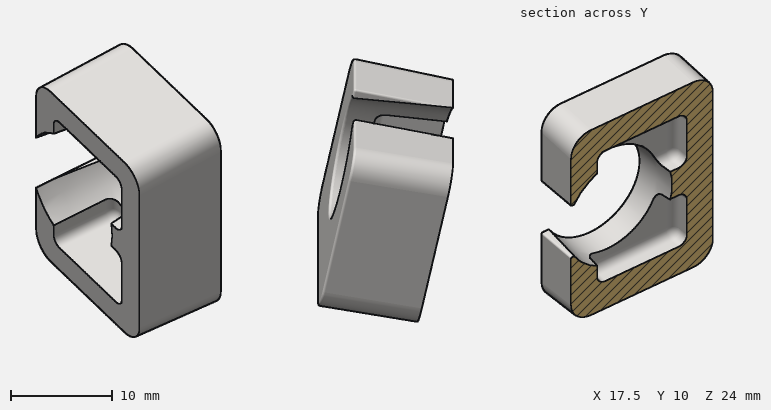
import cadquery as cq
import math

WIDTH = 17.5
DEPTH = 10.0
BACK_HEIGHT = 24.0
BODY_DRAFT = 3.0
CORNER_RADIUS = 2.5
BACK_EDGE_RADIUS = 0.25

BORE_OFFSET = 6.0
BORE_BACK_RADIUS = 6.0
BORE_DRAFT = 5.0
MOUTH_HALF_HEIGHT = 3.22
MOUTH_EDGE_RADIUS = 0.2

POCKET_LEFT = 3.0
POCKET_RIGHT = 14.5
POCKET_INNER_Z = 1.5
POCKET_OUTER_Z = 8.475
POCKET_DEPTH = 7.0
POCKET_DRAFT = 3.0
POCKET_RADIUS = 1.0


def drop(length, angle):
    """Sideways shift of a wall drafted by angle degrees over a length."""
    return length * math.tan(math.radians(angle))


def make_body():
    """Block drafted top and bottom, with the four edges running front to back rounded."""
    back = BACK_HEIGHT / 2
    front = back - drop(DEPTH, BODY_DRAFT)
    side_profile = [(0, -front), (DEPTH, -back), (DEPTH, back), (0, front)]
    block = cq.Workplane("YZ").polyline(side_profile).close().extrude(WIDTH)
    return block.edges("(not #Y) and (not |X) and (not |Z)").fillet(CORNER_RADIUS)


def make_bore():
    """Cone that widens towards the front."""
    front_radius = BORE_BACK_RADIUS + drop(DEPTH, BORE_DRAFT)
    half_section = [(0, 0), (front_radius, 0), (BORE_BACK_RADIUS, DEPTH), (0, DEPTH)]
    cone = cq.Workplane("XY").polyline(half_section).close().revolve(360, (0, 0, 0), (0, 1, 0))
    return cone.translate((BORE_OFFSET, 0, 0))


def make_mouth():
    """Slot from the bore to the left side, flared so that its outer edges come out rounded."""
    flare = MOUTH_HALF_HEIGHT + MOUTH_EDGE_RADIUS
    arc_rise = MOUTH_EDGE_RADIUS * math.sin(math.radians(45))
    bend_x = MOUTH_EDGE_RADIUS - arc_rise
    bend_z = flare - arc_rise
    return (
        cq.Workplane("XZ")
        .moveTo(0, -flare)
        .threePointArc((bend_x, -bend_z), (MOUTH_EDGE_RADIUS, -MOUTH_HALF_HEIGHT))
        .lineTo(BORE_OFFSET, -MOUTH_HALF_HEIGHT)
        .lineTo(BORE_OFFSET, MOUTH_HALF_HEIGHT)
        .lineTo(MOUTH_EDGE_RADIUS, MOUTH_HALF_HEIGHT)
        .threePointArc((bend_x, bend_z), (0, flare))
        .close()
        .extrude(-DEPTH)
    )


def make_pocket(side):
    """Pocket above (side = 1) or below (side = -1) the rib."""
    centre_x = (POCKET_LEFT + POCKET_RIGHT) / 2
    centre_z = side * (POCKET_INNER_Z + POCKET_OUTER_Z) / 2
    pocket = (
        cq.Workplane("XZ")
        .center(centre_x, centre_z)
        .rect(POCKET_RIGHT - POCKET_LEFT, POCKET_OUTER_Z - POCKET_INNER_Z)
        .extrude(-POCKET_DEPTH, taper=POCKET_DRAFT)
    )
    front_edges = pocket.faces("<Y").edges().vals()
    inner_edges = [
        edge
        for edge in pocket.edges().vals()
        if not any(edge.isSame(rim) for rim in front_edges)
    ]
    return pocket.newObject(inner_edges).fillet(POCKET_RADIUS)


result = make_body().cut(make_bore()).cut(make_mouth())
result = result.faces(">Y").edges().fillet(BACK_EDGE_RADIUS)
for side in (1, -1):
    result = result.cut(make_pocket(side))